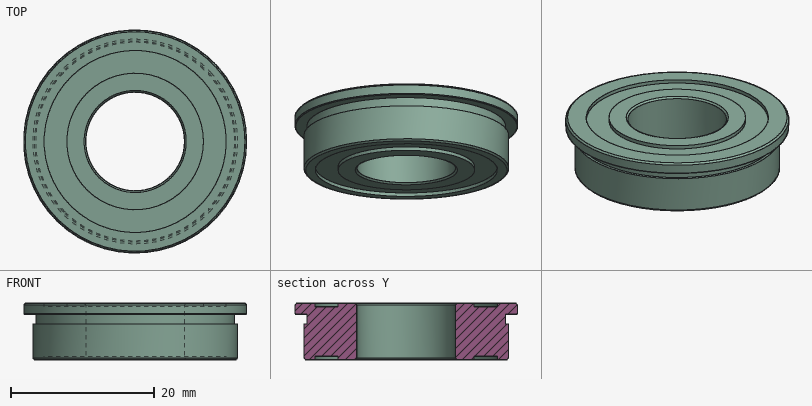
import cadquery as cq

width = 7.94
body_diameter = 28.575
body_chamfer = 0.25

flange_diameter = 31.115
flange_thickness = 1.58
flange_top_chamfer = 0.25
flange_bottom_chamfer = 0.12

groove_diameter = 27.75
groove_width = 1.32

bore_diameter = 13.75
bore_chamfer = 0.25

inner_ring_diameter = 19.05
outer_ring_inner_diameter = 25.4
recess_depth = 0.5

flange_underside = width - flange_thickness
groove_bottom = flange_underside - groove_width


def cylinder(diameter, bottom, top):
    return cq.Workplane("XY").workplane(offset=bottom).circle(diameter / 2).extrude(top - bottom)


def make_body():
    land = cylinder(body_diameter, 0, groove_bottom).faces("<Z").chamfer(body_chamfer)
    neck = cylinder(groove_diameter, groove_bottom, flange_underside)
    return land.union(neck)


def make_flange():
    flange = cylinder(flange_diameter, flange_underside, width)
    flange = flange.faces(">Z").chamfer(flange_top_chamfer)
    return flange.faces("<Z").chamfer(flange_bottom_chamfer)


def make_shield_recess(bottom):
    top = bottom + recess_depth
    outer = cylinder(outer_ring_inner_diameter, bottom, top)
    return outer.cut(cylinder(inner_ring_diameter, bottom, top))


bearing = make_body().union(make_flange())
for recess_bottom in (0, width - recess_depth):
    bearing = bearing.cut(make_shield_recess(recess_bottom))
bearing = bearing.cut(cylinder(bore_diameter, 0, width))

bore_rims = bearing.edges(cq.selectors.RadiusNthSelector(0))
result = bore_rims.chamfer(bore_chamfer)